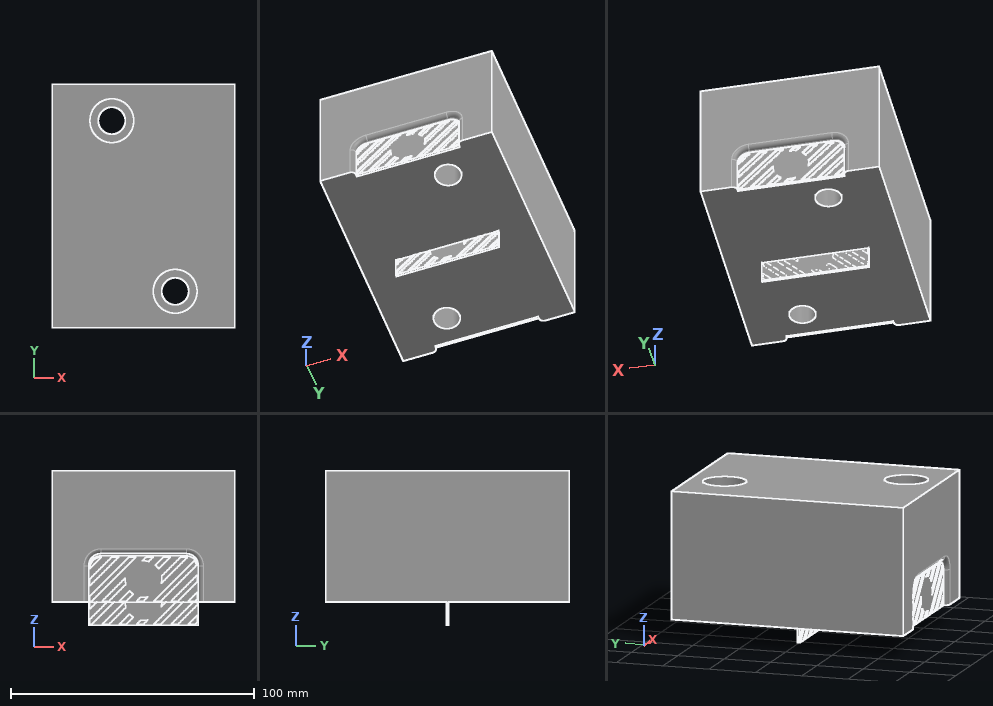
import cadquery as cq
import math

LENGTH = 100.0
WIDTH = 75.0
BLOCK_HEIGHT = 54.0

BOLT_DIAMETER = 11.0
COUNTERBORE_DIAMETER = 18.0
COUNTERBORE_DEPTH = BLOCK_HEIGHT / 2
BOLT_X = 13.0
BOLT_Y = 35.0

PLATE_WIDTH = 45.0
PLATE_HEIGHT = 19.0
PLATE_THICKNESS = 1.0
CORNER_RADIUS = 5.0
MIDDLE_PLATE_DROP = PLATE_HEIGHT / 2

TOP_CLEARANCE = 1.0
RECESS_HEIGHT = PLATE_HEIGHT + TOP_CLEARANCE
MOUTH_FILLET = 2.0
RECESS_DEPTH = MOUTH_FILLET + PLATE_THICKNESS

STRIPE_PITCH = 5.0
STRIPE_WIDTH = 2.0
STRIPE_DEPTH = PLATE_THICKNESS / 2
STRIPE_ANGLE = 45.0
STRIPE_COUNT = 9
STRIPE_SHIFT = -0.4
STRIPE_MARGIN = 0.5
DISC_DIAMETER = 15.0


def arch_prism(width, height, corner_radius, length):
    """Prism standing on Z = 0 and running from Y = 0 to +Y, with two round top corners."""
    return (
        cq.Workplane("XY")
        .box(width, length, height, centered=(True, False, False))
        .edges("|Y and >Z")
        .fillet(corner_radius)
    )


def plate_blank():
    """Plate without stripes, its front face on Y = 0 and its bottom edge on Z = 0."""
    return arch_prism(PLATE_WIDTH, PLATE_HEIGHT, CORNER_RADIUS, PLATE_THICKNESS)


def stripe_grooves():
    """Cutter for the stripes, inside a margin along the plate edge and clear of the disc."""
    field = arch_prism(
        PLATE_WIDTH - 2 * STRIPE_MARGIN,
        PLATE_HEIGHT - 2 * STRIPE_MARGIN,
        CORNER_RADIUS - STRIPE_MARGIN,
        STRIPE_DEPTH,
    ).translate((0, 0, STRIPE_MARGIN))
    plate_face = cq.Workplane("XZ", origin=(0, 0, PLATE_HEIGHT / 2))
    disc = plate_face.circle(DISC_DIAMETER / 2).extrude(-STRIPE_DEPTH)
    stripe_length = math.hypot(PLATE_WIDTH, PLATE_HEIGHT)
    middle = (STRIPE_COUNT - 1) / 2
    stripe_centres = [(0, STRIPE_SHIFT + (i - middle) * STRIPE_PITCH) for i in range(STRIPE_COUNT)]
    stripes = (
        plate_face.transformed(rotate=(0, 0, STRIPE_ANGLE))
        .pushPoints(stripe_centres)
        .rect(stripe_length, STRIPE_WIDTH)
        .extrude(-STRIPE_DEPTH)
    )
    return field.intersect(stripes).cut(disc)


def make_plate(turn, y, z):
    """Striped plate turned about Z, then moved so its striped face is at y and its bottom at z."""
    plate = plate_blank().cut(stripe_grooves())
    return plate.rotate((0, 0, 0), (0, 0, 1), turn).translate((0, y, z))


def cut_end_recesses(block):
    recess = arch_prism(PLATE_WIDTH, RECESS_HEIGHT, CORNER_RADIUS, RECESS_DEPTH)
    recess = recess.translate((0, -LENGTH / 2, 0))
    return block.cut(recess).cut(recess.mirror("XZ"))


def round_mouth(block, y):
    """Round the edges of the recess mouth that lie in the end face at this Y."""
    reach = 0.1
    half_width = PLATE_WIDTH / 2 + reach
    mouth = cq.selectors.BoxSelector(
        (-half_width, y - reach, reach),
        (half_width, y + reach, RECESS_HEIGHT + reach),
    )
    return block.edges(mouth).fillet(MOUTH_FILLET)


def cut_bolt_holes(block):
    return (
        block.faces(">Z")
        .workplane(origin=(0, 0, BLOCK_HEIGHT))
        .pushPoints([(-BOLT_X, BOLT_Y), (BOLT_X, -BOLT_Y)])
        .cboreHole(BOLT_DIAMETER, COUNTERBORE_DIAMETER, COUNTERBORE_DEPTH)
    )


def make_block():
    block = cq.Workplane("XY").box(WIDTH, LENGTH, BLOCK_HEIGHT, centered=(True, True, False))
    block = cut_end_recesses(block)
    for y in (-LENGTH / 2, LENGTH / 2):
        block = round_mouth(block, y)
    block = cut_bolt_holes(block)
    middle_slot = plate_blank().translate((0, -PLATE_THICKNESS / 2, -MIDDLE_PLATE_DROP))
    return block.cut(middle_slot)


block = make_block()

end_plate_y = LENGTH / 2 - MOUTH_FILLET
plate_places = [
    (0, -end_plate_y, 0),
    (0, -PLATE_THICKNESS / 2, -MIDDLE_PLATE_DROP),
    (180, end_plate_y, 0),
]
plates = [make_plate(turn, y, z) for turn, y, z in plate_places]

result = cq.Compound.makeCompound([block.solids().val(), *[plate.solids().val() for plate in plates]])